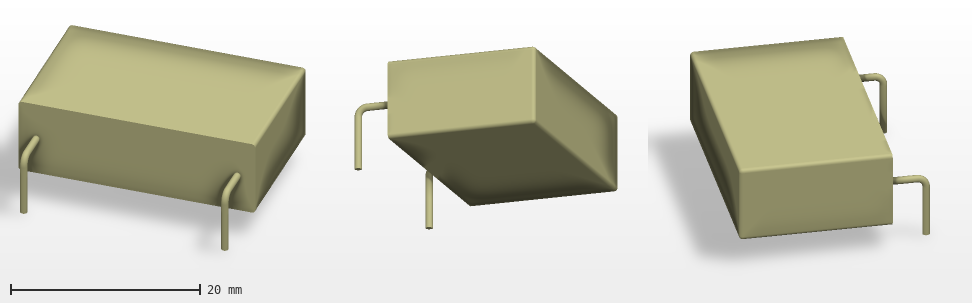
import cadquery as cq

case_width = 26.5
case_height = 8.5
total_depth = 20.9
total_height = 11.0
edge_radius = 0.4

lead_diameter = 0.8
lead_pitch = 22.5
bend_radius = 1.0
lead_reach = 4.0

lead_radius = lead_diameter / 2
case_depth = total_depth - lead_reach - lead_radius
lead_drop = total_height - case_height / 2


def make_case():
    """Box rounded on every edge except those around the flat front face."""
    block = cq.Workplane("XY").box(case_width, case_depth, case_height, centered=(True, False, True))
    return block.edges("|Y or >Y").fillet(edge_radius)


def make_lead(x):
    """Round wire that leaves the case front and bends down through a quarter turn."""
    bend_start = lead_reach - bend_radius
    path = (
        cq.Workplane("YZ", origin=(x, 0, 0))
        .moveTo(0, 0)
        .lineTo(-bend_start, 0)
        .tangentArcPoint((-bend_radius, -bend_radius), relative=True)
        .lineTo(-lead_reach, -lead_drop)
    )
    return cq.Workplane("XZ", origin=(x, 0, 0)).circle(lead_radius).sweep(path)


case = make_case()
leads = [make_lead(x) for x in (-lead_pitch / 2, lead_pitch / 2)]

result = cq.Compound.makeCompound([case.val(), *[lead.val() for lead in leads]])